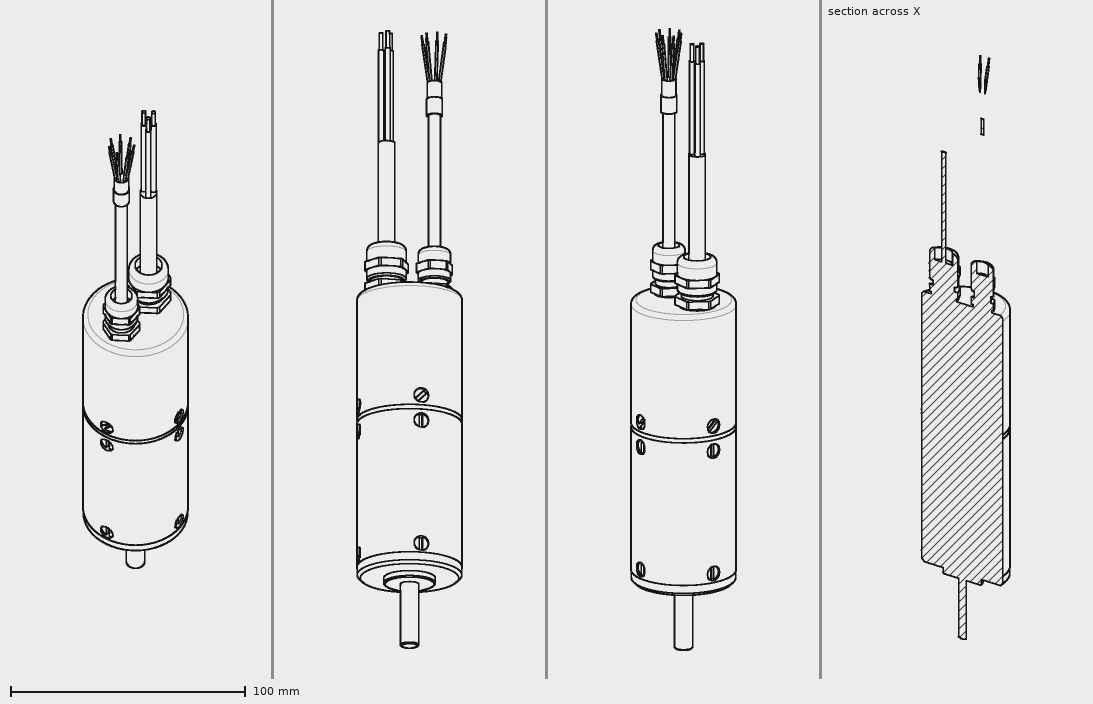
import cadquery as cq
import math

total_height = 272.5

shaft_dia = 8.0
shaft_chamfer = 0.5
pilot_dia = 22.0
pilot_bottom = 27.5
pilot_chamfer = 0.5

housing_dia = 45.0
housing_bottom = 30.2
housing_top = 156.0
housing_bottom_chamfer = 1.4
housing_top_fillet = 2.05
joint_groove_bottom = 99.0
joint_groove_height = 2.0
joint_groove_depth = 0.14
cap_top = 35.2
cap_step = 0.14

screw_heights_and_slot_angles = ((39.2, 0), (94.0, 0), (105.2, -45))
screws_around = 4
screw_dia = 6.3
screw_recess = 1.0
slot_width = 1.5
slot_depth = 1.5

gland_nut_top = 160.2
collar_height = 0.8
collar_inset = 0.8
clamp_recess = 5.5
cap_rounding_share = 0.95
nut_corner_trim = 0.97

power_y = 10.0
power_cable_dia = 7.0
power_jacket_end = 223.5
power_cores = 3
power_core_dia = 2.3
power_conductor_dia = 1.6
power_core_end = 265.0
power_core_circle = (power_cable_dia - power_core_dia) / 2

signal_y = -11.0
signal_cable_dia = 5.2
sleeve_dia = 6.8
sleeve_upper_dia = 6.3
sleeve_bottom = 237.0
sleeve_step = 244.5
sleeve_top = 251.8
signal_cores = 7
signal_core_dia = 1.0
signal_conductor_dia = 0.5
signal_core_end = 268.7
signal_circle_bottom = 2.5
signal_circle_top = 5.5


def cylinder(dia, bottom, top, x=0, y=0):
    return cq.Workplane("XY", origin=(x, y, bottom)).circle(dia / 2).extrude(top - bottom)


def point_on_circle(angle, radius):
    return radius * math.cos(angle), radius * math.sin(angle)


def hexagon(flats, bottom, top, y):
    """Hexagonal prism with flats facing +X and -X and its corners trimmed round."""
    corner_dia = flats / math.cos(math.pi / 6)
    prism = cq.Workplane("XY").polygon(6, corner_dia).extrude(top - bottom)
    prism = prism.intersect(cylinder(nut_corner_trim * corner_dia, 0, top - bottom))
    return prism.rotate((0, 0, 0), (0, 0, 1), 30).translate((0, y, bottom))


def make_housing():
    body = cylinder(housing_dia, housing_bottom, housing_top)
    body = body.faces(">Z").edges().fillet(housing_top_fillet)
    cap = cylinder(housing_dia - 2 * cap_step, housing_bottom, cap_top)
    cap = cap.faces("<Z").edges().chamfer(housing_bottom_chamfer)
    body = body.intersect(cylinder(housing_dia, cap_top, housing_top)).union(cap)
    groove_top = joint_groove_bottom + joint_groove_height
    groove = cylinder(housing_dia, joint_groove_bottom, groove_top)
    core = cylinder(housing_dia - 2 * joint_groove_depth, joint_groove_bottom, groove_top)
    return body.cut(groove.cut(core))


def make_screw_recess(height, slot_angle):
    """Recess of one radial screw, entering the housing from -Y."""
    wall = cq.Workplane("XZ", origin=(0, -housing_dia / 2 + screw_recess, height))
    bore = wall.circle(screw_dia / 2).extrude(2 * screw_recess)
    slot = wall.transformed(rotate=(0, 0, slot_angle)).rect(slot_width, screw_dia).extrude(-slot_depth)
    slot = slot.intersect(wall.circle(screw_dia / 2).extrude(-slot_depth))
    return bore.union(slot)


def make_gland(y, nut_size, neck_dia, opening_dia, skirt_bottom, grip_bottom, grip_top, top):
    """Cable gland: collar, base nut, neck and round cap nut with a hexagonal grip band."""
    collar_top = housing_top + collar_height
    gland = cylinder(nut_size - 2 * collar_inset, housing_top, collar_top, y=y)
    gland = gland.union(hexagon(nut_size, collar_top, gland_nut_top, y))
    gland = gland.union(cylinder(neck_dia, gland_nut_top, skirt_bottom, y=y))
    cap_nut = cylinder(nut_size, skirt_bottom, top, y=y)
    skirt_chamfer = (nut_size - neck_dia) / 4
    cap_nut = cap_nut.faces("<Z").edges().chamfer(skirt_chamfer)
    cap_nut = cap_nut.cut(cylinder(opening_dia, top - clamp_recess, top, y=y))
    rounding = cap_rounding_share * (nut_size - opening_dia) / 2
    outer_edge = cap_nut.faces(">Z").edges(cq.selectors.RadiusNthSelector(-1))
    cap_nut = outer_edge.fillet(rounding)
    return gland.union(cap_nut).union(hexagon(nut_size, grip_bottom, grip_top, y))


def slanted_core(dia, y, angle, bottom, top):
    """Core with horizontal ends that leans outwards with height."""
    def axis_point(z):
        share = (z - sleeve_top) / (total_height - sleeve_top)
        spread = signal_circle_bottom + share * (signal_circle_top - signal_circle_bottom)
        x_off, y_off = point_on_circle(angle, spread)
        return cq.Vector(x_off, y + y_off, z)

    start = axis_point(bottom)
    outline = cq.Wire.makeCircle(dia / 2, start, cq.Vector(0, 0, 1))
    return cq.Workplane(cq.Solid.extrudeLinear(outline, [], axis_point(top) - start))


def make_power_cable():
    cable = cylinder(power_cable_dia, housing_top, power_jacket_end, y=power_y)
    for i in range(power_cores):
        x_off, y_off = point_on_circle(math.pi + 2 * math.pi * i / power_cores, power_core_circle)
        place = {"x": x_off, "y": power_y + y_off}
        cable = cable.union(cylinder(power_core_dia, power_jacket_end, power_core_end, **place))
        cable = cable.union(cylinder(power_conductor_dia, power_core_end, total_height, **place))
    return cable


def make_signal_cable():
    cable = cylinder(signal_cable_dia, housing_top, sleeve_top, y=signal_y)
    cable = cable.union(cylinder(sleeve_dia, sleeve_bottom, sleeve_step, y=signal_y))
    cable = cable.union(cylinder(sleeve_upper_dia, sleeve_step, sleeve_top, y=signal_y))
    for i in range(signal_cores):
        angle = math.pi + 2 * math.pi * i / signal_cores
        core = slanted_core(signal_core_dia, signal_y, angle, sleeve_top, signal_core_end)
        conductor = slanted_core(signal_conductor_dia, signal_y, angle, signal_core_end, total_height)
        cable = cable.union(core).union(conductor)
    return cable


result = make_housing()
for height, slot_angle in screw_heights_and_slot_angles:
    recess = make_screw_recess(height, slot_angle)
    for i in range(screws_around):
        result = result.cut(recess.rotate((0, 0, 0), (0, 0, 1), 360 * i / screws_around))

pilot = cylinder(pilot_dia, pilot_bottom, housing_bottom).faces("<Z").edges().chamfer(pilot_chamfer)
shaft = cylinder(shaft_dia, 0, pilot_bottom).faces("<Z").edges().chamfer(shaft_chamfer)
power_gland = make_gland(
    y=power_y, nut_size=17.0, neck_dia=13.5, opening_dia=11.5,
    skirt_bottom=162.1, grip_bottom=166.2, grip_top=169.8, top=177.7,
)
signal_gland = make_gland(
    y=signal_y, nut_size=14.0, neck_dia=11.5, opening_dia=9.0,
    skirt_bottom=163.0, grip_bottom=166.8, grip_top=170.5, top=177.5,
)
for piece in (pilot, shaft, power_gland, signal_gland, make_power_cable(), make_signal_cable()):
    result = result.union(piece)